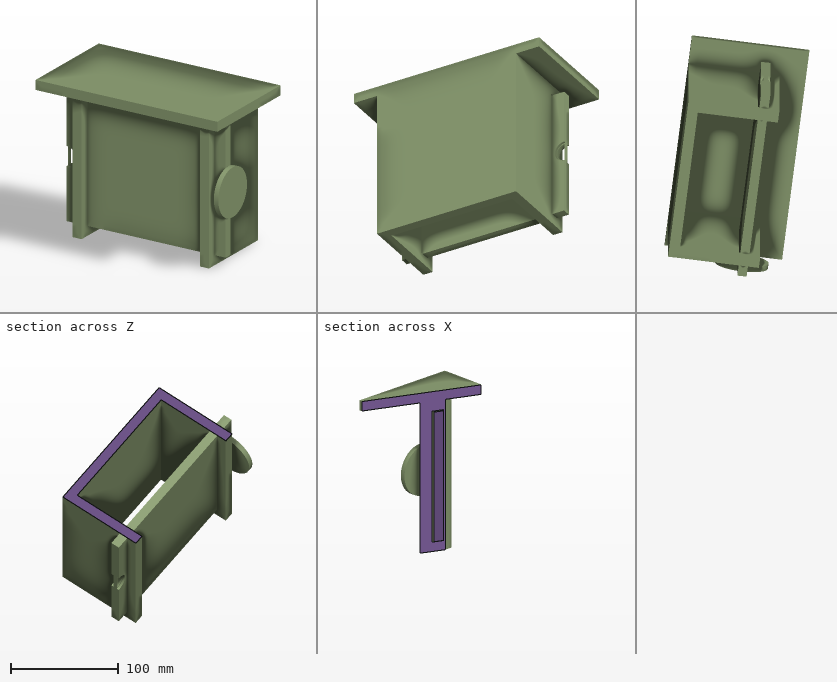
import cadquery as cq
import math

TURN_ANGLE = 22.7

ROOF_LENGTH = 200.0
ROOF_DEPTH = 110.0
BOARD_THICKNESS = 10.0
WALL_HEIGHT = 150.0
HOUSING_LENGTH = 150.0
HOUSING_DEPTH = 85.1
BACK_Y = ROOF_DEPTH / 2
FRONT_Y = BACK_Y - HOUSING_DEPTH

SLOT_SETBACK = 10.0
SLOT_WIDTH = 10.0
SLOT_HEIGHT = WALL_HEIGHT - 2 * BOARD_THICKNESS
SLOT_BOTTOM = BOARD_THICKNESS
SLOT_FRONT_Y = FRONT_Y + SLOT_SETBACK

SIDE_CLEARANCE = 1.4
TOP_CLEARANCE = 0.7
PANEL_LEFT_X = -87.8
PANEL_LENGTH = 175.0
PANEL_RIGHT_X = PANEL_LEFT_X + PANEL_LENGTH
PANEL_THICKNESS = SLOT_WIDTH - SIDE_CLEARANCE
PANEL_HEIGHT = SLOT_HEIGHT - TOP_CLEARANCE
PANEL_Y = SLOT_FRONT_Y + PANEL_THICKNESS / 2

KNOB_DIAMETER = 50
KNOB_THICKNESS = 5.0

GRIP_Z = WALL_HEIGHT / 2
RECESS_RADIUS = 10.0
RECESS_DEPTH = 2.3
OPENING_RADIUS = 8.9
END_WEB = 1.0


def make_housing():
    shell = cq.Workplane("XY").box(
        HOUSING_LENGTH, HOUSING_DEPTH, WALL_HEIGHT, centered=(True, False, False)
    ).translate((0, FRONT_Y, 0))
    interior = cq.Workplane("XY").box(
        HOUSING_LENGTH - 2 * BOARD_THICKNESS,
        HOUSING_DEPTH - BOARD_THICKNESS,
        WALL_HEIGHT,
        centered=(True, False, False),
    ).translate((0, FRONT_Y, 0))
    roof = cq.Workplane("XY").box(
        ROOF_LENGTH, ROOF_DEPTH, BOARD_THICKNESS, centered=(True, True, False)
    ).translate((0, 0, WALL_HEIGHT))
    slots = cq.Workplane("XY").box(
        HOUSING_LENGTH, SLOT_WIDTH, SLOT_HEIGHT, centered=(True, False, False)
    ).translate((0, SLOT_FRONT_Y, SLOT_BOTTOM))
    return shell.cut(interior).cut(slots).union(roof)


def finger_recess(side):
    """Disc cut into the front (side = -1) or rear (side = 1) face, centred on the left end."""
    face_y = PANEL_Y + side * PANEL_THICKNESS / 2
    return (
        cq.Workplane("XZ", origin=(PANEL_LEFT_X, face_y, GRIP_Z))
        .circle(RECESS_RADIUS)
        .extrude(side * RECESS_DEPTH)
    )


def finger_opening():
    """Half-round through cut behind the end web, concentric with the recesses."""
    flat_z = math.sqrt(OPENING_RADIUS**2 - END_WEB**2)
    return (
        cq.Workplane("XZ", origin=(PANEL_LEFT_X, PANEL_Y, GRIP_Z))
        .moveTo(END_WEB, -flat_z)
        .threePointArc((OPENING_RADIUS, 0), (END_WEB, flat_z))
        .close()
        .extrude(PANEL_THICKNESS / 2, both=True)
    )


def make_panel():
    panel = cq.Workplane("XY").box(
        PANEL_LENGTH, PANEL_THICKNESS, PANEL_HEIGHT, centered=False
    ).translate((PANEL_LEFT_X, SLOT_FRONT_Y, SLOT_BOTTOM))
    knob = (
        cq.Workplane("YZ", origin=(PANEL_RIGHT_X, PANEL_Y, GRIP_Z))
        .circle(KNOB_DIAMETER / 2)
        .extrude(KNOB_THICKNESS)
    )
    panel = panel.union(knob)
    for side in (-1, 1):
        panel = panel.cut(finger_recess(side))
    return panel.cut(finger_opening())


def turned(body):
    return body.rotate((0, 0, 0), (0, 0, 1), TURN_ANGLE)


housing = turned(make_housing())
panel = turned(make_panel())

result = cq.Compound.makeCompound([housing.val(), panel.val()])